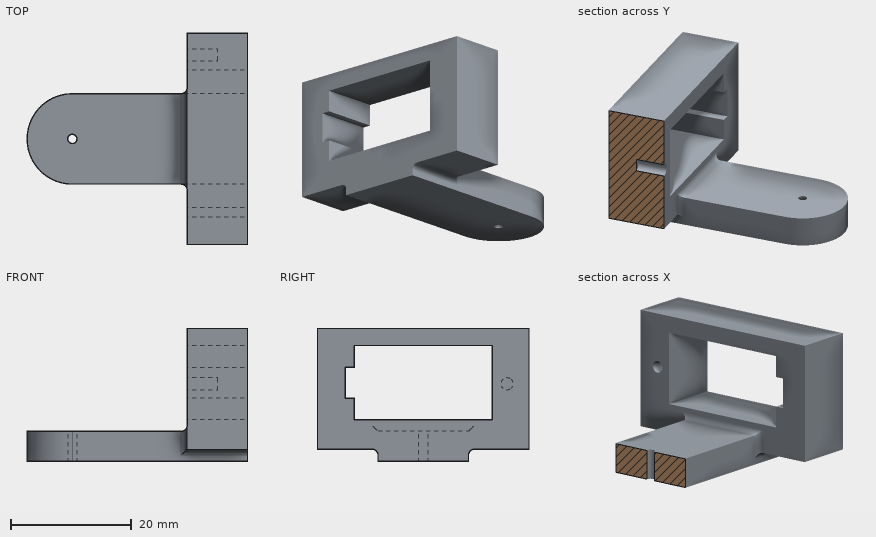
import cadquery as cq

length = 36.5
frame_width = 35.0
total_height = 22.0

frame_depth = 10.0
frame_bottom = 2.0
frame_front = length - frame_depth

arm_width = 15.0
arm_thickness = 5.0
arm_radius = arm_width / 2
arm_hole_diameter = 1.5
fillet_radius = 1.0

window_width = 22.78
window_height = 12.25
window_center_z = 13.03
notch_depth = 1.5
notch_height = 5.07

screw_hole_diameter = 2.0
screw_hole_depth = frame_depth / 2
screw_hole_y = 13.87
screw_hole_z = 12.85

pick_margin = 0.05


def make_frame():
    return cq.Workplane("XY").box(
        frame_depth, frame_width, total_height - frame_bottom, centered=(False, True, False)
    ).translate((frame_front, 0, frame_bottom))


def make_arm():
    return (
        cq.Workplane("XY")
        .moveTo(length, -arm_width / 2)
        .lineTo(arm_radius, -arm_width / 2)
        .threePointArc((0, 0), (arm_radius, arm_width / 2))
        .lineTo(length, arm_width / 2)
        .close()
        .extrude(arm_thickness)
    )


def fillet_joint(body):
    """Round the inside corners where the arm meets the frame's front and underside."""
    front_edges = cq.selectors.BoxSelector(
        (frame_front - pick_margin, -arm_width / 2 - pick_margin, frame_bottom - pick_margin),
        (frame_front + pick_margin, arm_width / 2 + pick_margin, arm_thickness + pick_margin),
        boundingbox=True,
    )
    underside_edges = cq.selectors.BoxSelector(
        (frame_front - pick_margin, -arm_width / 2 - pick_margin, frame_bottom - pick_margin),
        (length + pick_margin, arm_width / 2 + pick_margin, frame_bottom + pick_margin),
        boundingbox=True,
    )
    return body.edges(front_edges + underside_edges).fillet(fillet_radius)


def make_window():
    opening = cq.Workplane("XY").box(
        frame_depth, window_width, window_height, centered=(False, True, True)
    )
    notch_reach = window_width / 2 + notch_depth
    notch = cq.Workplane("XY").box(
        frame_depth, notch_reach, notch_height, centered=(False, False, True)
    ).translate((0, -notch_reach, 0))
    return opening.union(notch).translate((frame_front, 0, window_center_z))


def make_arm_hole():
    return (
        cq.Workplane("XY")
        .center(arm_radius, 0)
        .circle(arm_hole_diameter / 2)
        .extrude(arm_thickness)
    )


def make_screw_hole():
    return (
        cq.Workplane("YZ", origin=(frame_front, screw_hole_y, screw_hole_z))
        .circle(screw_hole_diameter / 2)
        .extrude(screw_hole_depth)
    )


body = fillet_joint(make_frame().union(make_arm()))
result = body.cut(make_window()).cut(make_arm_hole()).cut(make_screw_hole())